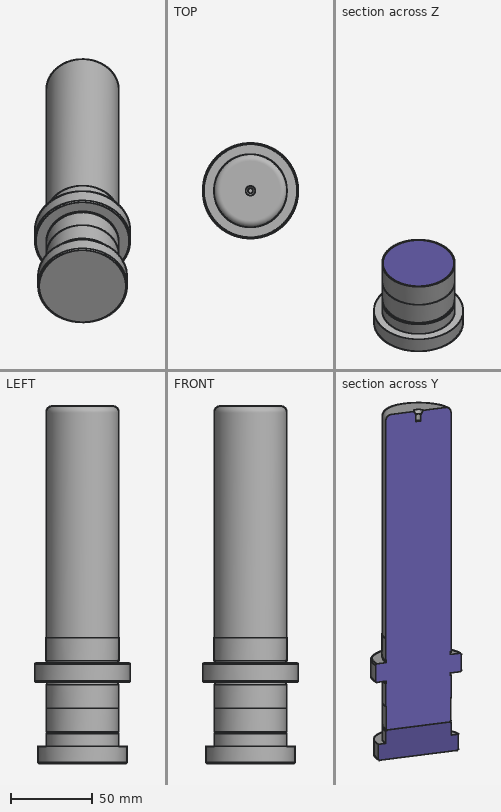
import cadquery as cq

overall_height = 220.0
shaft_radius = 22.5
upper_fit_oversize = 0.1
guide_start_z = 77.5
tip_round = 4.0
collar_radius = 29.5
collar_bottom_z = 50.0
collar_height = 12.0
collar_chamfer = 0.9
undercut_width = 1.3
undercut_depth = 0.5
foot_relief = 0.1
fit_start_z = 34.0
foot_chamfer = 0.9

centre_bore_diameter = 3.0
centre_mouth_diameter = 6.0
centre_mouth_angle = 60
centre_hole_depth = 6.5

cap_head_radius = 27.5
cap_head_height = 10.5
cap_height = 18.7
cap_chamfer = 0.9
spigot_chamfer = 0.5

collar_top_z = collar_bottom_z + collar_height


def cylinder(radius, bottom_z, top_z):
    """Upright cylinder on the Z axis."""
    return cq.Workplane("XY").workplane(offset=bottom_z).circle(radius).extrude(top_z - bottom_z)


def make_pillar():
    """Collared guide pillar with a rounded, centre-drilled tip."""
    undercut_radius = shaft_radius - undercut_depth
    foot = cylinder(shaft_radius - foot_relief, cap_height, fit_start_z)
    foot = foot.faces("<Z").chamfer(foot_chamfer)
    lower_fit = cylinder(shaft_radius, fit_start_z, collar_bottom_z - undercut_width)
    undercuts = cylinder(undercut_radius, collar_bottom_z - undercut_width, collar_top_z + undercut_width)
    collar = cylinder(collar_radius, collar_bottom_z, collar_top_z).edges().chamfer(collar_chamfer)
    upper_fit = cylinder(shaft_radius + upper_fit_oversize, collar_top_z + undercut_width, guide_start_z)
    guide = cylinder(shaft_radius, guide_start_z, overall_height)
    guide = guide.faces(">Z").edges().fillet(tip_round)
    pillar = foot.union(lower_fit).union(undercuts).union(collar).union(upper_fit).union(guide)
    return pillar.faces(">Z").workplane().cskHole(
        centre_bore_diameter, centre_mouth_diameter, centre_mouth_angle, centre_hole_depth
    )


def make_cap():
    """Flanged cap whose spigot meets the foot of the pillar."""
    head = cylinder(cap_head_radius, 0, cap_head_height).faces("<Z").chamfer(cap_chamfer)
    spigot = cylinder(shaft_radius, cap_head_height, cap_height).faces(">Z").chamfer(spigot_chamfer)
    return head.union(spigot)


pillar = make_pillar()
cap = make_cap()
result = cq.Compound.makeCompound([pillar.val(), cap.val()])